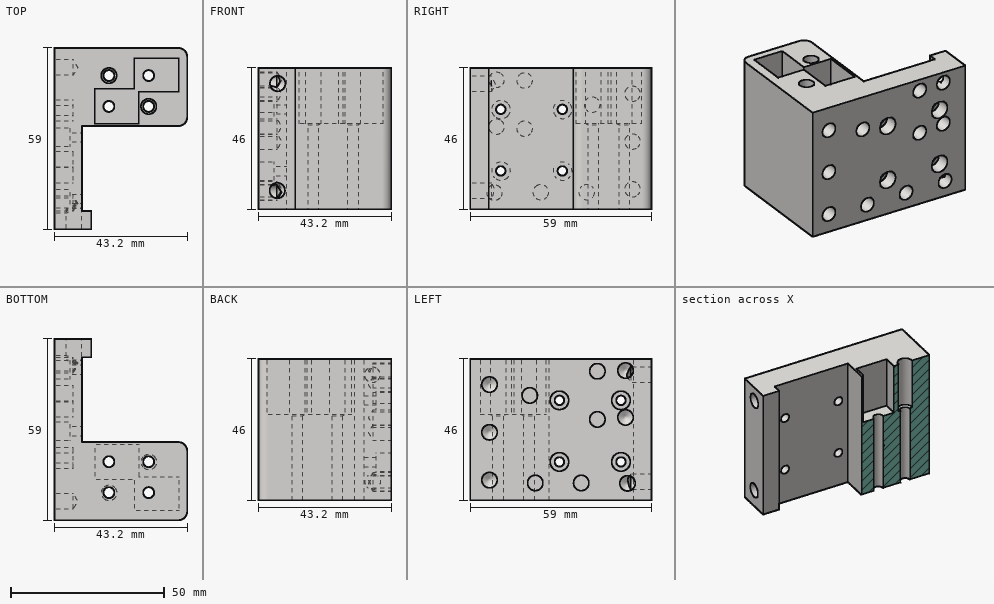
import cadquery as cq
import math

LENGTH_X = 43.2
LENGTH_Y = 59
HEIGHT = 46
PLATE_THICKNESS = 8.95
BLOCK_FRONT_Y = 33.5
CORNER_RADIUS = 3.0
LIP_REACH = 12.0
LIP_WIDTH = 6.0

WIDE_DIAMETER = 5.0
CLEARANCE_DIAMETER = 3.5
DRILL_POINT_ANGLE = 118
BLIND_DEPTH = 6.0
END_HOLE_DEPTH = 6.85
SCREW_DIAMETER = 3.0
COUNTERBORE_DIAMETER = 6.0
COUNTERBORE_DEPTH = 5.0

POCKET_LENGTH = 14.4
POCKET_DEPTH = 18.0
FRONT_POCKET_X = 13.05
FRONT_POCKET_Y = 34.35
FRONT_POCKET_WIDTH = 11.3
REAR_POCKET_X = 26.0
REAR_POCKET_Y = 44.8
REAR_POCKET_WIDTH = 10.85

BLOCK_HOLE_X = (17.7, 30.6)
BLOCK_HOLE_Y = (39.95, 50.0)
WIDE_BORE_DEPTH = 18.0

POINTED_HOLES = [(52.7, 37.65), (52.7, 22.1), (52.7, 6.6), (8.5, 42.2), (8.5, 26.95), (7.85, 5.55)]
FLAT_HOLES = [(17.65, 41.95), (17.65, 26.3), (39.6, 34.1), (37.8, 5.65), (22.9, 5.65)]
SCREW_PITCH = 20.0
SCREW_Y = 10.0
SCREW_Z = 12.5

END_HOLES = [(6.25, 40.9), (6.15, 6.15)]

INTO_PLATE = cq.Vector(1, 0, 0)
INTO_END = cq.Vector(0, 1, 0)
DOWN = cq.Vector(0, 0, -1)


def cylinder(start, direction, diameter, depth):
    return cq.Solid.makeCylinder(diameter / 2, depth, cq.Vector(*start), direction)


def pointed_hole(start, direction, diameter, depth, tip_diameter=0):
    """Straight bore ending in a drill-point cone that narrows to tip_diameter."""
    cone_height = (diameter - tip_diameter) / 2 / math.tan(math.radians(DRILL_POINT_ANGLE / 2))
    cone_start = cq.Vector(*start) + direction * depth
    cone = cq.Solid.makeCone(diameter / 2, tip_diameter / 2, cone_height, cone_start, direction)
    return cylinder(start, direction, diameter, depth).fuse(cone)


def box(x, y, z, size_x, size_y, size_z):
    return cq.Workplane("XY").box(size_x, size_y, size_z, centered=False).translate((x, y, z))


plate = box(0, 0, 0, PLATE_THICKNESS, LENGTH_Y, HEIGHT)
block = box(0, BLOCK_FRONT_Y, 0, LENGTH_X, LENGTH_Y - BLOCK_FRONT_Y, HEIGHT)
block = block.edges("|Z and >X").fillet(CORNER_RADIUS)
lip = box(0, 0, 0, LIP_REACH, LIP_WIDTH, HEIGHT)
body = plate.union(block).union(lip)

pocket_floor_z = HEIGHT - POCKET_DEPTH
front_pocket = box(
    FRONT_POCKET_X, FRONT_POCKET_Y, pocket_floor_z, POCKET_LENGTH, FRONT_POCKET_WIDTH, POCKET_DEPTH
)
rear_pocket = box(
    REAR_POCKET_X, REAR_POCKET_Y, pocket_floor_z, POCKET_LENGTH, REAR_POCKET_WIDTH, POCKET_DEPTH
)
body = body.cut(front_pocket).cut(rear_pocket)

for x in BLOCK_HOLE_X:
    for y in BLOCK_HOLE_Y:
        body = body.cut(cylinder((x, y, HEIGHT), DOWN, CLEARANCE_DIAMETER, HEIGHT))
for x, y in zip(BLOCK_HOLE_X, reversed(BLOCK_HOLE_Y)):
    body = body.cut(pointed_hole((x, y, HEIGHT), DOWN, WIDE_DIAMETER, WIDE_BORE_DEPTH, CLEARANCE_DIAMETER))

for y, z in POINTED_HOLES:
    body = body.cut(pointed_hole((0, y, z), INTO_PLATE, WIDE_DIAMETER, BLIND_DEPTH))
for y, z in FLAT_HOLES:
    body = body.cut(cylinder((0, y, z), INTO_PLATE, WIDE_DIAMETER, BLIND_DEPTH))

for y in (SCREW_Y, SCREW_Y + SCREW_PITCH):
    for z in (SCREW_Z, SCREW_Z + SCREW_PITCH):
        body = body.cut(cylinder((0, y, z), INTO_PLATE, SCREW_DIAMETER, PLATE_THICKNESS))
        body = body.cut(cylinder((0, y, z), INTO_PLATE, COUNTERBORE_DIAMETER, COUNTERBORE_DEPTH))

for x, z in END_HOLES:
    body = body.cut(pointed_hole((x, 0, z), INTO_END, WIDE_DIAMETER, END_HOLE_DEPTH))

result = body